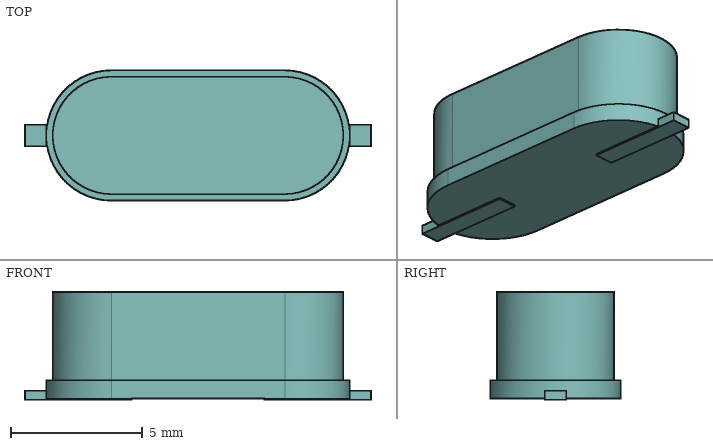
import cadquery as cq

overall_length = 13.21
overall_height = 4.12
straight_length = 6.6
base_width = 4.98
base_thickness = 0.7
rim = 0.25
lead_length = 4.07
lead_width = 0.83
tab_thickness = 0.36
strip_thickness = 0.05

can_width = base_width - 2 * rim
base_bottom = strip_thickness
base_top = base_bottom + base_thickness
can_height = overall_height - base_top
base_end_x = (straight_length + base_width) / 2
lead_outer_x = overall_length / 2
lead_inner_x = lead_outer_x - lead_length


def rounded_slab(width, bottom, height):
    """Upright slab with straight long sides and semicircular ends."""
    return (
        cq.Workplane("XY", origin=(0, 0, bottom))
        .slot2D(straight_length + width, width)
        .extrude(height)
    )


def make_lead(side):
    """L-shaped lead at the +X (side = 1) or -X (side = -1) end: thin strip, thick outer tab."""
    profile = [
        (side * lead_inner_x, 0),
        (side * lead_outer_x, 0),
        (side * lead_outer_x, tab_thickness),
        (side * base_end_x, tab_thickness),
        (side * base_end_x, strip_thickness),
        (side * lead_inner_x, strip_thickness),
    ]
    return cq.Workplane("XZ").polyline(profile).close().extrude(lead_width / 2, both=True)


base = rounded_slab(base_width, base_bottom, base_thickness)
can = rounded_slab(can_width, base_top, can_height)
leads = [make_lead(side) for side in (-1, 1)]

result = cq.Compound.makeCompound([base.val(), can.val(), *[lead.val() for lead in leads]])